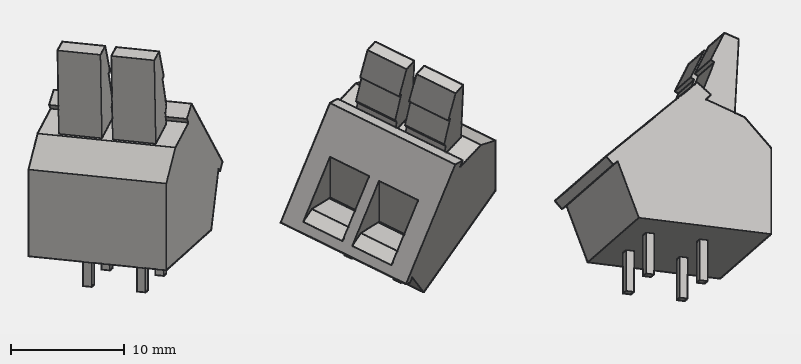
import cadquery as cq
import math


POLE_COUNT = 2
POLE_PITCH = 5.0
POLE_XS = [(i - (POLE_COUNT - 1) / 2) * POLE_PITCH for i in range(POLE_COUNT)]
OPENING_WIDTH = 4.0

HOUSING_WIDTH = 12.8
BASE_DEPTH = 12.45
FRONT_HEIGHT = 8.02
SEAT_FRONT = (2.51, 10.59)
SEAT_BACK = (6.12, 11.79)
NOSE = (5.67, 12.28)
RIDGE = (6.98, 13.3)
EAVE = (15.54, 5.36)
EAVE_UNDERSIDE = (14.86, 4.66)
BACK_WALL_TOP = (14.44, 5.02)

FUNNEL_LOW_Y = 14.83
FUNNEL_LEDGE_DEPTH = 1.5
FUNNEL_LEDGE_ANGLE = 3.5
FUNNEL_HIGH_Y = 10.18
FUNNEL_FLOOR_DEPTH = 0.14
FUNNEL_RAMP_ANGLE = 36.5
FUNNEL_FLOOR_ANGLE = 15.0

PIN_WIDTH = 0.8
PIN_DEPTH = 0.75
PIN_LENGTH = 3.8
PIN_YS = [5.03, 10.08]

LEVER_FOOT_FRONT_Y = 2.75
LEVER_FOOT_BACK_Y = 5.7
LEVER_TIP_FRONT = (2.33, 18.5)
LEVER_TIP_BACK = (3.69, 18.92)
CATCH_TIP = (4.98, 16.24)
CATCH_ROOT = (4.64, 16.07)
KNEE_TIP = (5.68, 13.37)
KNEE_ROOT = (5.4, 12.72)


def height_on_line(start, end, y):
    """Z of the straight line through two (y, z) points at the given y."""
    return start[1] + (y - start[0]) * (end[1] - start[1]) / (end[0] - start[0])


def extrude_profile(points, width, x_center=0.0):
    """Prism along X, centred on x_center, from (y, z) points."""
    return (
        cq.Workplane("YZ", origin=(x_center, 0, 0))
        .polyline(points)
        .close()
        .extrude(width / 2, both=True)
    )


def make_funnel(x_center):
    """Wire entry: a gently rising ledge, a ramp down to a short floor, and an upright wall."""
    low_rim = (FUNNEL_LOW_Y, height_on_line(RIDGE, EAVE, FUNNEL_LOW_Y))
    high_rim = (FUNNEL_HIGH_Y, height_on_line(RIDGE, EAVE, FUNNEL_HIGH_Y))
    ledge_rise = FUNNEL_LEDGE_DEPTH * math.tan(math.radians(FUNNEL_LEDGE_ANGLE))
    ledge_end = (FUNNEL_LOW_Y - FUNNEL_LEDGE_DEPTH, low_rim[1] + ledge_rise)
    ramp_end_y = FUNNEL_HIGH_Y + FUNNEL_FLOOR_DEPTH
    ramp_drop = (ledge_end[0] - ramp_end_y) * math.tan(math.radians(FUNNEL_RAMP_ANGLE))
    ramp_end = (ramp_end_y, ledge_end[1] - ramp_drop)
    floor_drop = FUNNEL_FLOOR_DEPTH * math.tan(math.radians(FUNNEL_FLOOR_ANGLE))
    floor_end = (FUNNEL_HIGH_Y, ramp_end[1] - floor_drop)
    return extrude_profile([low_rim, ledge_end, ramp_end, floor_end, high_rim], OPENING_WIDTH, x_center)


def make_pin(x, y):
    """Rectangular pin hanging below the base."""
    return (
        cq.Workplane("XY")
        .center(x, y)
        .rect(PIN_WIDTH, PIN_DEPTH)
        .extrude(-PIN_LENGTH)
    )


def make_housing():
    """Gabled housing with wire funnels and solder pins."""
    outline = [
        (0, 0),
        (0, FRONT_HEIGHT),
        SEAT_FRONT,
        SEAT_BACK,
        NOSE,
        RIDGE,
        EAVE,
        EAVE_UNDERSIDE,
        BACK_WALL_TOP,
        (BASE_DEPTH, 0),
    ]
    body = extrude_profile(outline, HOUSING_WIDTH)
    for x in POLE_XS:
        body = body.cut(make_funnel(x))
        for y in PIN_YS:
            body = body.union(make_pin(x, y))
    return body


def make_lever(x_center):
    """Release lever standing on the sloping seat."""
    outline = [
        (LEVER_FOOT_FRONT_Y, height_on_line(SEAT_FRONT, SEAT_BACK, LEVER_FOOT_FRONT_Y)),
        LEVER_TIP_FRONT,
        LEVER_TIP_BACK,
        CATCH_TIP,
        CATCH_ROOT,
        KNEE_TIP,
        KNEE_ROOT,
        (LEVER_FOOT_BACK_Y, height_on_line(SEAT_FRONT, SEAT_BACK, LEVER_FOOT_BACK_Y)),
    ]
    return extrude_profile(outline, OPENING_WIDTH, x_center)


housing = make_housing()
levers = [make_lever(x) for x in POLE_XS]

result = cq.Compound.makeCompound([housing.val(), *[lever.val() for lever in levers]])